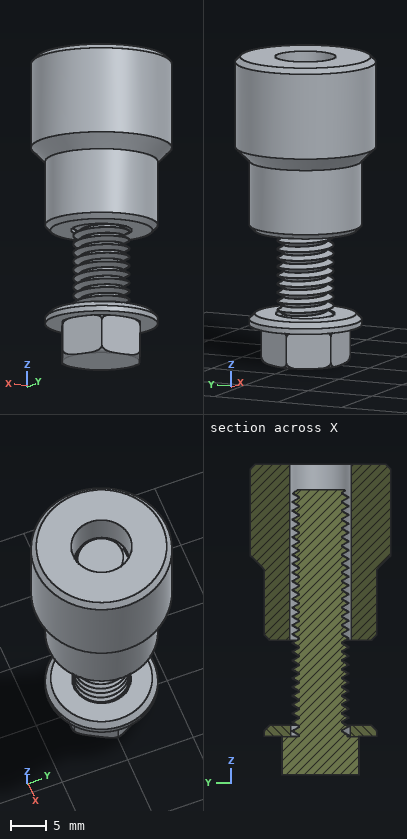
import cadquery as cq
import math

total_height = 44.1

head_height = 5.45
head_across_flats = 11.0
head_corner_round = 0.9
head_offset_x = 0.1
bolt_length = 35.0
thread_turns = 28
thread_diameter = 8.0
thread_root_diameter = 6.1
thread_flank_angle = 30.0
thread_end_chamfer = 0.6
thread_pitch = bolt_length / thread_turns
thread_crest_flat = thread_pitch / 16
thread_phase = 0.45
ridge_embed = 0.02
trim_margin = 0.1

washer_diameter = 16.0
washer_hole_diameter = 8.4
washer_thickness = 1.6
washer_chamfer = washer_thickness / 2

bushing_diameter = 20.0
bushing_neck_diameter = 16.0
bushing_bore_diameter = 8.6
bushing_height = 25.0
bushing_neck_height = 10.0
bushing_edge_chamfer = 0.75
bushing_shoulder = (bushing_diameter - bushing_neck_diameter) / 2


def cylinder(diameter, height, base_z=0.0):
    return cq.Workplane("XY", origin=(0, 0, base_z)).circle(diameter / 2).extrude(height)


def make_bolt_head():
    """Hexagonal head with corners on the X axis, rounded at both ends."""
    across_corners = head_across_flats / math.cos(math.radians(30))
    hexagon = cq.Workplane("XY").polygon(6, across_corners).extrude(head_height)
    corner_turning = (
        cylinder(across_corners, head_height)
        .faces("|Z").edges()
        .fillet(head_corner_round)
    )
    return hexagon.intersect(corner_turning).translate((head_offset_x, 0, 0))


def make_thread_ridge(start_z, length):
    """Helical ridge of trapezoid section, whose base lies just inside the thread core."""
    crest_radius = thread_diameter / 2
    base_radius = thread_root_diameter / 2 - ridge_embed
    crest_half_width = thread_crest_flat / 2
    flank_slope = math.tan(math.radians(thread_flank_angle))
    base_half_width = crest_half_width + (crest_radius - base_radius) * flank_slope
    section = [
        (base_radius, -base_half_width),
        (base_radius, base_half_width),
        (crest_radius, crest_half_width),
        (crest_radius, -crest_half_width),
    ]

    edges = [
        cq.Wire.makeHelix(thread_pitch, length, radius, center=cq.Vector(0, 0, start_z + z))
        for radius, z in section
    ]
    faces = []
    for edge, next_edge in zip(edges, edges[1:] + edges[:1]):
        faces += cq.Face.makeRuledSurface(edge, next_edge).Faces()
    for end_z in (start_z, start_z + length):
        corners = [cq.Vector(radius, 0, end_z + z) for radius, z in section]
        faces.append(cq.Face.makeFromWires(cq.Wire.makePolygon(corners, close=True)))
    return cq.Workplane(cq.Solid.makeSolid(cq.Shell.makeShell(faces)))


def make_threaded_shank():
    """Right-hand V thread: a helical ridge on a core, trimmed to the shank length."""
    ridge = make_thread_ridge(
        head_height + thread_phase - 2 * thread_pitch,
        bolt_length + 3 * thread_pitch,
    )
    trim = (
        cylinder(thread_diameter + 2 * trim_margin, bolt_length, head_height)
        .faces(">Z").edges()
        .chamfer(thread_end_chamfer + trim_margin)
    )
    core = cylinder(thread_root_diameter, bolt_length + thread_pitch, head_height)
    return core.union(ridge, clean=False).intersect(trim, clean=False)


def make_bolt():
    return make_bolt_head().union(make_threaded_shank(), clean=False)


def make_washer():
    blank = cylinder(washer_diameter, washer_thickness, head_height)
    blank = blank.faces(">Z").edges().chamfer(washer_chamfer)
    return blank.cut(cylinder(washer_hole_diameter, washer_thickness, head_height))


def make_bushing():
    """Stepped sleeve with a conical shoulder and a plain through bore."""
    bottom_z = total_height - bushing_height
    neck_top_z = bottom_z + bushing_neck_height
    bore_radius = bushing_bore_diameter / 2
    neck_radius = bushing_neck_diameter / 2
    outer_radius = bushing_diameter / 2
    return (
        cq.Workplane("XZ")
        .polyline([
            (bore_radius, bottom_z),
            (neck_radius - bushing_edge_chamfer, bottom_z),
            (neck_radius, bottom_z + bushing_edge_chamfer),
            (neck_radius, neck_top_z),
            (outer_radius, neck_top_z + bushing_shoulder),
            (outer_radius, total_height - bushing_edge_chamfer),
            (outer_radius - bushing_edge_chamfer, total_height),
            (bore_radius, total_height),
        ])
        .close()
        .revolve(360, (0, 0, 0), (0, 1, 0))
    )


bolt = make_bolt()
washer = make_washer()
bushing = make_bushing()

result = cq.Compound.makeCompound([bolt.solids().val(), washer.solids().val(), bushing.val()])